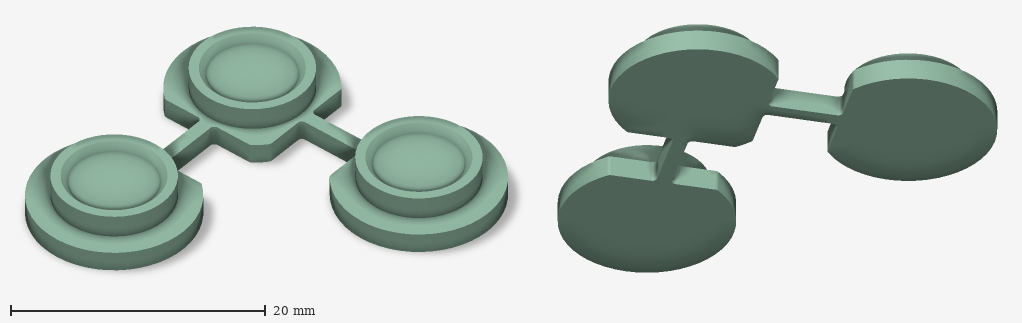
import cadquery as cq
import math

overall_length = 31.0
overall_height = 3.8

flange_diameter = 14.0
flange_thickness = 1.8
boss_diameter = 10.0
dish_rim_diameter = 8.4
dish_floor_diameter = 7.2
dish_depth = (dish_rim_diameter - dish_floor_diameter) / 2
flat_distance = 5.5

strip_width = 1.2
outline_fillet = 0.4

pitch = overall_length - flange_diameter
gap = pitch - 2 * flat_distance

button_centers = [(0, 0), (pitch, 0), (0, -pitch)]


def make_flanges():
    """Three discs, cut flat where they face each other."""
    flanges = (
        cq.Workplane("XY").pushPoints(button_centers)
        .circle(flange_diameter / 2).extrude(flange_thickness)
    )
    x_gap = (
        cq.Workplane("XY").center(pitch / 2, 0)
        .rect(gap, flange_diameter).extrude(flange_thickness)
    )
    y_gap = (
        cq.Workplane("XY").center(0, -pitch / 2)
        .rect(flange_diameter, gap).extrude(flange_thickness)
    )
    return flanges.cut(x_gap).cut(y_gap)


def add_strips(body):
    """Bridge both gaps and round the corners at both ends of every flat."""
    half_width = strip_width / 2
    half_flat = math.sqrt((flange_diameter / 2) ** 2 - flat_distance ** 2)
    x_strip = cq.Workplane("XY").center(pitch / 2, 0).rect(gap, strip_width).extrude(flange_thickness)
    y_strip = cq.Workplane("XY").center(0, -pitch / 2).rect(strip_width, gap).extrude(flange_thickness)
    body = body.union(x_strip).union(y_strip)
    mid_height = flange_thickness / 2
    for along in (flat_distance, pitch - flat_distance):
        for side in (-half_flat, -half_width, half_width, half_flat):
            for corner in ((along, side, mid_height), (side, -along, mid_height)):
                body = body.edges(cq.NearestToPointSelector(corner)).fillet(outline_fillet)
    return body


def make_boss():
    """Raised boss with a shallow conical dish in its top."""
    boss = cq.Workplane("XY").circle(boss_diameter / 2).extrude(overall_height)
    dish = (
        cq.Workplane("XY").workplane(offset=overall_height - dish_depth)
        .circle(dish_floor_diameter / 2)
        .workplane(offset=dish_depth)
        .circle(dish_rim_diameter / 2)
        .loft()
    )
    return boss.cut(dish)


result = add_strips(make_flanges())
boss = make_boss()
for x, y in button_centers:
    result = result.union(boss.translate((x, y, 0)))